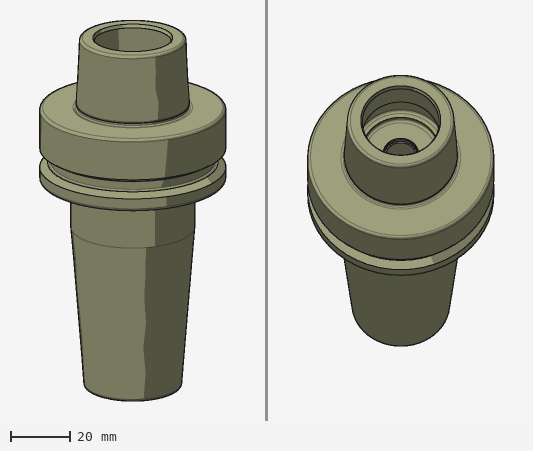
import cadquery as cq
import math

TAPER_LENGTH = 25.0
BODY_LENGTH = 100.0

FLANGE_RADIUS = 63.0 / 2
FLANGE_HEIGHT = 26.0
FLANGE_EDGE_FILLET = 1.0
GROOVE_RADIUS = 27.75
GROOVE_WIDTH = 3.75
GROOVE_CENTRE_DEPTH = 18.0
GROOVE_FLANK_DEPTH = 2.7
GROOVE_FLANK_ANGLE = 30.0
GROOVE_FLOOR_FILLET = 0.5

TAPER_TOP_RADIUS = 18.0
TAPER_FOOT_RADIUS = 19.15
TAPER_FOOT_HEIGHT = 1.7
TAPER_TOP_FILLET = 1.0
TAPER_FOOT_BAND = 0.4
NECK_RADIUS = 18.95
RELIEF_FILLET = 0.5
RELIEF_SINK = 0.1
RELIEF_RADIUS = 20.2

BODY_RADIUS = 21.0
BODY_FILLET = 3.0
BODY_CYLINDER_END = 43.0
NOSE_ANGLE = 4.5
NOSE_FILLET = 1.0

MOUTH_RADIUS = 13.0
MOUTH_CHAMFER_WIDTH = 0.5
MOUTH_CHAMFER_DEPTH = 1.2
MOUTH_DEPTH = 10.1
CHAMBER_RADIUS = 15.5
CHAMBER_SHOULDER_ANGLE = 60.0
CHAMBER_DEPTH = 20.5
POCKET_DEPTH = 22.5
BORE_FILLET = 1.0

COUNTERBORE_RADIUS = 5.65
COUNTERBORE_CHAMFER = 0.3
COUNTERBORE_DEPTH = 1.5
PILOT_RADIUS = 5.1
PILOT_DEPTH = 10.0
COOLANT_HOLE_RADIUS = 2.5
DRILL_POINT_ANGLE = 118.0

ARC_MID = math.sqrt(0.5)


def revolve(outline):
    """Turn a closed (radius, height) outline into a solid about Z."""
    return outline.close().revolve(360, (0, 0, 0), (0, 1, 0))


def quarter_arc(outline, centre, radius, middle_side, end_side):
    """Continue the outline along a quarter circle.

    The sides are unit steps from the centre: the quadrant of the arc's middle and its end.
    """
    middle = [c + radius * ARC_MID * side for c, side in zip(centre, middle_side)]
    end = [c + radius * side for c, side in zip(centre, end_side)]
    return outline.threePointArc(tuple(middle), tuple(end))


def make_flange():
    """Flange disc with rounded outer rims."""
    disc = cq.Workplane("XY").circle(FLANGE_RADIUS).extrude(-FLANGE_HEIGHT)
    return disc.edges().fillet(FLANGE_EDGE_FILLET)


def make_groove():
    """Ring that cuts the gripper groove, with flared flanks and rounded floor corners."""
    flank_rise = GROOVE_FLANK_DEPTH * math.tan(math.radians(GROOVE_FLANK_ANGLE))
    flank_radius = FLANGE_RADIUS - GROOVE_FLANK_DEPTH
    upper_wall = -GROOVE_CENTRE_DEPTH + GROOVE_WIDTH / 2
    lower_wall = -GROOVE_CENTRE_DEPTH - GROOVE_WIDTH / 2
    corner_radius = GROOVE_RADIUS + GROOVE_FLOOR_FILLET
    upper_centre = (corner_radius, upper_wall - GROOVE_FLOOR_FILLET)
    lower_centre = (corner_radius, lower_wall + GROOVE_FLOOR_FILLET)

    outline = cq.Workplane("XZ").moveTo(FLANGE_RADIUS, upper_wall + flank_rise)
    outline = outline.lineTo(flank_radius, upper_wall).lineTo(corner_radius, upper_wall)
    outline = quarter_arc(outline, upper_centre, GROOVE_FLOOR_FILLET, (-1, 1), (-1, 0))
    outline = outline.lineTo(GROOVE_RADIUS, lower_centre[1])
    outline = quarter_arc(outline, lower_centre, GROOVE_FLOOR_FILLET, (-1, -1), (0, -1))
    outline = outline.lineTo(flank_radius, lower_wall)
    outline = outline.lineTo(FLANGE_RADIUS, lower_wall - flank_rise)
    return revolve(outline)


def make_shank():
    """Solid taper shank standing on the flange, with its top rim rounded."""
    outline = (
        cq.Workplane("XZ")
        .lineTo(TAPER_FOOT_RADIUS, 0)
        .lineTo(TAPER_FOOT_RADIUS, TAPER_FOOT_HEIGHT)
        .lineTo(TAPER_TOP_RADIUS, TAPER_LENGTH)
        .lineTo(0, TAPER_LENGTH)
    )
    return revolve(outline).faces(">Z").edges().fillet(TAPER_TOP_FILLET)


def make_relief():
    """Ring that undercuts the foot of the taper and sinks slightly into the flange face."""
    band_end = TAPER_FOOT_HEIGHT - TAPER_FOOT_BAND
    neck_top = band_end - (TAPER_FOOT_RADIUS - NECK_RADIUS)
    centre = (NECK_RADIUS + RELIEF_FILLET, RELIEF_FILLET - RELIEF_SINK)

    outline = cq.Workplane("XZ").moveTo(RELIEF_RADIUS, band_end)
    outline = outline.lineTo(TAPER_FOOT_RADIUS, band_end).lineTo(NECK_RADIUS, neck_top)
    outline = outline.lineTo(NECK_RADIUS, centre[1])
    outline = quarter_arc(outline, centre, RELIEF_FILLET, (-1, -1), (0, -1))
    outline = outline.lineTo(RELIEF_RADIUS, 0)
    return revolve(outline)


def make_body():
    """Cylinder blending into the flange, then a nose tapering to the tool end."""
    nose_length = BODY_LENGTH - BODY_CYLINDER_END
    nose_end_radius = BODY_RADIUS - nose_length * math.tan(math.radians(NOSE_ANGLE))
    blend_centre = (BODY_RADIUS + BODY_FILLET, -FLANGE_HEIGHT - BODY_FILLET)

    outline = cq.Workplane("XZ").moveTo(0, -BODY_LENGTH)
    outline = outline.lineTo(nose_end_radius, -BODY_LENGTH)
    outline = outline.lineTo(BODY_RADIUS, -BODY_CYLINDER_END)
    outline = outline.lineTo(BODY_RADIUS, blend_centre[1])
    outline = quarter_arc(outline, blend_centre, BODY_FILLET, (-1, 1), (0, 1))
    outline = outline.lineTo(0, -FLANGE_HEIGHT)
    return revolve(outline).faces("<Z").edges().fillet(NOSE_FILLET)


def make_clamping_bore():
    """Chamfered mouth, a wider chamber behind it and a shallow pocket in the chamber floor."""
    shoulder_angle = math.radians(CHAMBER_SHOULDER_ANGLE)
    shoulder_height = (CHAMBER_RADIUS - MOUTH_RADIUS) / math.tan(shoulder_angle)
    mouth_end = TAPER_LENGTH - MOUTH_DEPTH
    chamber_floor = TAPER_LENGTH - CHAMBER_DEPTH
    pocket_floor = TAPER_LENGTH - POCKET_DEPTH
    chamber_centre = (CHAMBER_RADIUS - BORE_FILLET, chamber_floor + BORE_FILLET)
    pocket_centre = (MOUTH_RADIUS - BORE_FILLET, pocket_floor + BORE_FILLET)

    outline = cq.Workplane("XZ").moveTo(0, TAPER_LENGTH)
    outline = outline.lineTo(MOUTH_RADIUS + MOUTH_CHAMFER_WIDTH, TAPER_LENGTH)
    outline = outline.lineTo(MOUTH_RADIUS, TAPER_LENGTH - MOUTH_CHAMFER_DEPTH)
    outline = outline.lineTo(MOUTH_RADIUS, mouth_end)
    outline = outline.lineTo(CHAMBER_RADIUS, mouth_end - shoulder_height)
    outline = outline.lineTo(CHAMBER_RADIUS, chamber_centre[1])
    outline = quarter_arc(outline, chamber_centre, BORE_FILLET, (1, -1), (0, -1))
    outline = outline.lineTo(MOUTH_RADIUS, chamber_floor)
    outline = outline.lineTo(MOUTH_RADIUS, pocket_centre[1])
    outline = quarter_arc(outline, pocket_centre, BORE_FILLET, (1, -1), (0, -1))
    outline = outline.lineTo(0, pocket_floor)
    return revolve(outline)


def make_central_bore():
    """Chamfered counterbore, a drilled pilot with a conical end and a coolant hole to the nose."""
    top = TAPER_LENGTH - POCKET_DEPTH
    ledge = top - COUNTERBORE_DEPTH
    pilot_end = top - PILOT_DEPTH
    half_point_angle = math.radians(DRILL_POINT_ANGLE / 2)
    point_depth = (PILOT_RADIUS - COOLANT_HOLE_RADIUS) / math.tan(half_point_angle)
    outline = (
        cq.Workplane("XZ")
        .moveTo(0, top)
        .lineTo(COUNTERBORE_RADIUS + COUNTERBORE_CHAMFER, top)
        .lineTo(COUNTERBORE_RADIUS, top - COUNTERBORE_CHAMFER)
        .lineTo(COUNTERBORE_RADIUS, ledge)
        .lineTo(PILOT_RADIUS, ledge)
        .lineTo(PILOT_RADIUS, pilot_end)
        .lineTo(COOLANT_HOLE_RADIUS, pilot_end - point_depth)
        .lineTo(COOLANT_HOLE_RADIUS, -BODY_LENGTH)
        .lineTo(0, -BODY_LENGTH)
    )
    return revolve(outline)


outside = make_flange().cut(make_groove()).union(make_shank()).union(make_body())
relieved = outside.cut(make_relief())
result = relieved.cut(make_clamping_bore()).cut(make_central_bore())